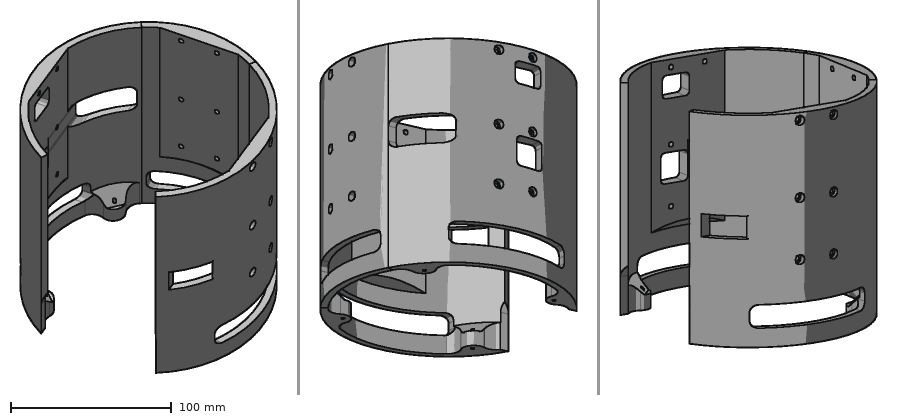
import cadquery as cq
import math

outer_radius = 80.0
wall = 5.0
inner_radius = outer_radius - wall
height = 150.0
small_panel_span = 60.0
large_panel_span = 120.0
north_east, north_west, south_west, south_east = 45.0, 135.0, 225.0, 315.0
half_door = outer_radius * math.sin(math.radians(small_panel_span / 2))

pad_distance = 69.9
pad_foot = 40.0
pad_thickness = inner_radius - pad_distance

screw_diameter = 3.2
head_diameter = 6.0
head_floor = 75.3
screw_half_spacing = 12.5
screw_levels = (55.0, 95.0, 144.9)

slot_bottom = 12.5
slot_top = 27.5
slot_corner = 5.0
small_slot_width = 70.0
large_slot_width = 85.1

window_width = 20.0
window_corner = 3.0
upper_window_offset, upper_window_bottom, upper_window_top = 9.0, 125.0, 140.0
lower_window_offset, lower_window_bottom, lower_window_top = 10.0, 70.0, 90.0

rounded_side_near, rounded_side_far = half_door, 70.0
rounded_side_bottom, rounded_side_top = 80.0, 100.0
square_side_near, square_side_far = 46.7, 66.7
square_side_bottom, square_side_top = 70.0, 85.0

door_top = 35.0
door_corner = 9.9

tab_tip = 62.4
tab_nose_radius = 8.0
tab_flare_radius = 9.0
tab_height = 9.9
tab_ramp_start = 65.0
tab_hole_position = 67.5
tab_hole_diameter = 2.2
tab_swing = 45.0

embed = wall / 2
reach = outer_radius + 16.0


def turned(shape, angle):
    return shape.rotate((0, 0, 0), (0, 0, 1), angle)


def box_between(x_range, y_range, z_range):
    (x0, x1), (y0, y1), (z0, z1) = x_range, y_range, z_range
    return cq.Workplane("XY").box(x1 - x0, y1 - y0, z1 - z0, centered=False).translate((x0, y0, z0))


def panel_wall(span):
    """Wall of one panel, centred on +X."""
    section = cq.Workplane("XZ").moveTo(inner_radius, 0).lineTo(outer_radius, 0)
    section = section.lineTo(outer_radius, height).lineTo(inner_radius, height).close()
    return turned(section.revolve(span, (0, 0, 0), (0, 1, 0)), -span / 2)


def pad():
    """Chord-shaped thickening whose flat inner face looks along -X."""
    section = cq.Workplane("XZ").polyline([
        (pad_distance, height),
        (pad_distance, pad_foot + pad_thickness),
        (inner_radius, pad_foot),
        (inner_radius + embed, pad_foot),
        (inner_radius + embed, height),
    ]).close()
    ring = section.revolve(360, (0, 0, 0), (0, 1, 0))
    half_chord = math.sqrt(inner_radius**2 - pad_distance**2)
    return ring.intersect(box_between((pad_distance, reach), (-half_chord, half_chord), (0, height)))


def facing_slot(offset, width, bottom, top, corner):
    """Cutter along +X: a rounded rectangle in the YZ plane."""
    cutter = box_between((0, reach), (offset - width / 2, offset + width / 2), (bottom, top))
    return cutter.edges("|X").fillet(corner)


def side_opening(near, far, bottom, top):
    """Cutter along -Y, reaching from the middle of the tube outwards."""
    return box_between((near, far), (-reach, 0), (bottom, top))


def screw_holes():
    points = [(side * screw_half_spacing, level) for side in (-1, 1) for level in screw_levels]
    shanks = cq.Workplane("YZ").pushPoints(points).circle(screw_diameter / 2).extrude(reach)
    heads = cq.Workplane("YZ", origin=(head_floor, 0, 0)).pushPoints(points)
    return shanks.union(heads.circle(head_diameter / 2).extrude(reach - head_floor))


def tab():
    """Bell-shaped tab pointing at the axis: round nose, two flares tangent to it and to the wall."""
    nose_centre = tab_tip + tab_nose_radius
    flare_distance = inner_radius - tab_flare_radius
    centre_gap = tab_nose_radius + tab_flare_radius
    flare_x = (flare_distance**2 + nose_centre**2 - centre_gap**2) / (2 * nose_centre)
    flare_y = math.sqrt(flare_distance**2 - flare_x**2)

    blend = tab_nose_radius / centre_gap
    join = (nose_centre + blend * (flare_x - nose_centre), blend * flare_y)
    root = (flare_x * inner_radius / flare_distance, flare_y * inner_radius / flare_distance)
    toward_join = math.atan2(join[1] - flare_y, join[0] - flare_x)
    toward_root = math.atan2(root[1] - flare_y, root[0] - flare_x)
    middle_angle = (toward_join + toward_root) / 2
    middle = (flare_x + tab_flare_radius * math.cos(middle_angle),
              flare_y + tab_flare_radius * math.sin(middle_angle))
    back = inner_radius + embed

    outline = (
        cq.Workplane("XY").moveTo(join[0], -join[1])
        .threePointArc((tab_tip, 0), join)
        .threePointArc(middle, root)
        .lineTo(back, root[1]).lineTo(back, -root[1]).lineTo(root[0], -root[1])
        .threePointArc((middle[0], -middle[1]), (join[0], -join[1]))
        .close()
    )
    ramp_top = tab_height + back - tab_ramp_start
    side_profile = cq.Workplane("XZ").polyline([
        (tab_tip, 0),
        (back, 0),
        (back, ramp_top),
        (tab_ramp_start, tab_height),
        (tab_tip, tab_height),
    ]).close().extrude(root[1], both=True)
    hole = cq.Workplane("XY").center(tab_hole_position, 0).circle(tab_hole_diameter / 2).extrude(ramp_top)
    return outline.extrude(ramp_top).intersect(side_profile).cut(hole)


def doorway():
    cutter = box_between((0, reach), (-half_door, half_door), (-door_corner, door_top))
    return turned(cutter.edges("|X and >Z").fillet(door_corner), south_east)


def padded_wall(span):
    """Wall, pad and screw holes shared by every panel, centred on +X."""
    return panel_wall(span).union(pad()).cut(screw_holes())


def foot_slot(width):
    return facing_slot(0, width, slot_bottom, slot_top, slot_corner)


def tabbed_panel():
    """Large panel; its foot slot also trims the ramps of the tabs."""
    panel = padded_wall(large_panel_span)
    for angle in (-tab_swing, tab_swing):
        panel = panel.union(turned(tab(), angle))
    return panel.cut(foot_slot(large_slot_width))


def make_north_west_panel():
    panel = padded_wall(small_panel_span).cut(foot_slot(small_slot_width))
    return turned(panel, north_west)


def make_north_east_panel():
    opening = side_opening(square_side_near, square_side_far, square_side_bottom, square_side_top)
    return turned(tabbed_panel().cut(opening), north_east).cut(doorway())


def make_south_west_panel():
    upper_window = facing_slot(
        upper_window_offset, window_width, upper_window_bottom, upper_window_top, window_corner)
    lower_window = facing_slot(
        lower_window_offset, window_width, lower_window_bottom, lower_window_top, window_corner)
    opening = side_opening(rounded_side_near, rounded_side_far, rounded_side_bottom, rounded_side_top)
    opening = opening.edges("|Y").fillet(slot_corner)
    panel = tabbed_panel().cut(upper_window).cut(lower_window).cut(opening)
    return turned(panel, south_west).cut(doorway())


north_west_panel = make_north_west_panel()
north_east_panel = make_north_east_panel()
south_west_panel = make_south_west_panel()

result = cq.Compound.makeCompound([
    north_west_panel.val(),
    north_east_panel.val(),
    south_west_panel.val(),
])